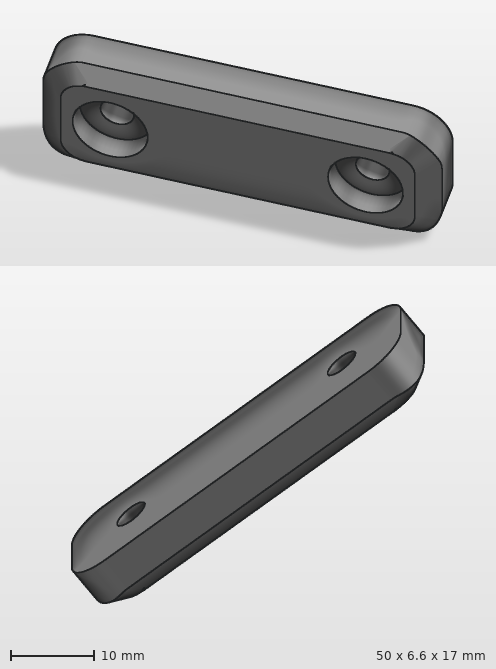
import cadquery as cq

LENGTH = 50
THICKNESS = 6.6
HEIGHT = 17
CORNER_RADIUS = 5

BEVEL_DEPTH = 2
END_INSET = 2.8
SIDE_INSET = 1.9
BEVEL_CORNER_RADIUS = 5

HOLE_SPACING = 32
HOLE_DIAMETER = 4.2
COUNTERBORE_DIAMETER = 9.4
COUNTERBORE_DEPTH = 3


def rounded_plate():
    """Plain plate with rounded corners, its back face on the XZ plane."""
    return (
        cq.Workplane("XZ")
        .rect(LENGTH, HEIGHT)
        .extrude(THICKNESS)
        .edges("|Y")
        .fillet(CORNER_RADIUS)
    )


def bevel_envelope():
    """Straight block topped by a frustum whose four slanted edges are rounded."""
    base_thickness = THICKNESS - BEVEL_DEPTH
    base = cq.Workplane("XZ").rect(LENGTH, HEIGHT).extrude(base_thickness)
    frustum = (
        cq.Workplane("XZ", origin=(0, -base_thickness, 0))
        .rect(LENGTH, HEIGHT)
        .workplane(offset=BEVEL_DEPTH)
        .rect(LENGTH - 2 * END_INSET, HEIGHT - 2 * SIDE_INSET)
        .loft(ruled=True)
        .edges("not(#Y)")
        .fillet(BEVEL_CORNER_RADIUS)
    )
    return base.union(frustum)


def drill_screw_holes(plate):
    """Cut a counterbored through hole near each end, entered from the front."""
    return (
        plate.faces("<Y")
        .workplane(origin=(0, 0, 0))
        .rarray(HOLE_SPACING, 0.5, 2, 1)
        .cboreHole(HOLE_DIAMETER, COUNTERBORE_DIAMETER, COUNTERBORE_DEPTH)
    )


result = drill_screw_holes(rounded_plate().intersect(bevel_envelope()))